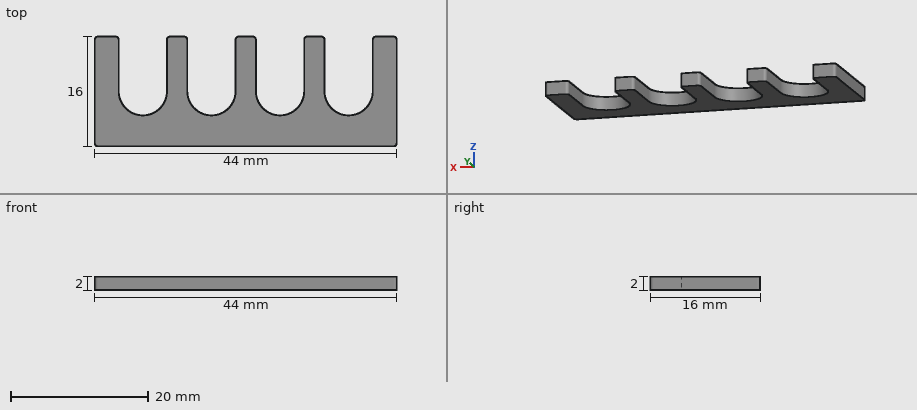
import cadquery as cq

length = 44.0
width = 16.0
thickness = 2.0
corner_radius = 0.5

slot_count = 4
slot_pitch = 10.0
slot_width = 7.0
slot_depth = 11.5

slot_radius = slot_width / 2
top_edge = width / 2
slot_center_y = top_edge - slot_depth + slot_radius


def slot_cutter(center_x):
    """Solid that removes one slot, from the open edge to its round bottom."""
    return (
        cq.Workplane("XY")
        .moveTo(center_x - slot_radius, top_edge)
        .lineTo(center_x - slot_radius, slot_center_y)
        .threePointArc(
            (center_x, slot_center_y - slot_radius),
            (center_x + slot_radius, slot_center_y),
        )
        .lineTo(center_x + slot_radius, top_edge)
        .close()
        .extrude(thickness)
    )


plate = cq.Workplane("XY").box(length, width, thickness, centered=(True, True, False))

for index in range(slot_count):
    slot_x = (index - (slot_count - 1) / 2) * slot_pitch
    plate = plate.cut(slot_cutter(slot_x))

tooth_tips = plate.faces(">Y").edges("|Z")
base_corners = plate.faces("<Y").edges("|Z")
result = plate.newObject(tooth_tips.vals() + base_corners.vals()).fillet(corner_radius)